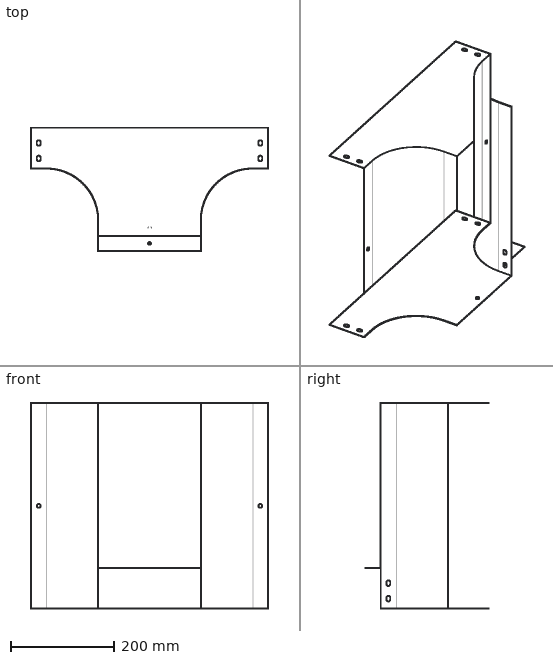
import cadquery as cq
import math

sheet = 1.0
height = 400.0
throat_width = 200.0
bend_radius = 100.0
straight_length = 30.0
wing_depth = 80.0
flange_length = 30.0
mouth_height = 80.0

slot_width = 7.0
slot_length = 10.5
slot_pitch = 30.0
slot_inset = 20.0
edge_inset = 15.0
fixing_diameter = 7.0
flange_hole_diameter = 5.0

half_throat = throat_width / 2
half_width = half_throat + bend_radius + straight_length
body_depth = wing_depth + bend_radius + straight_length
back_y = (body_depth + flange_length) / 2
wing_y = back_y - wing_depth
mouth_y = back_y - body_depth
bend_start_y = wing_y - bend_radius
bend_end_x = half_throat + bend_radius
bottom_z = -height / 2
top_z = height / 2
flange_z = bottom_z + mouth_height - sheet
cut_depth = 4 * sheet


def side_wall_path(side, offset):
    """Points of a wall face, set inward from the outer face by offset."""
    radius = bend_radius + offset
    diagonal = radius * math.cos(math.radians(45))
    mouth = (side * (half_throat - offset), mouth_y)
    bend_start = (side * (half_throat - offset), bend_start_y)
    bend_middle = (side * (bend_end_x - diagonal), bend_start_y + diagonal)
    bend_end = (side * bend_end_x, wing_y + offset)
    wing_end = (side * half_width, wing_y + offset)
    return mouth, bend_start, bend_middle, bend_end, wing_end


def tee_plate(z):
    """T-shaped plate with its lower face at z."""
    r_mouth, r_start, r_middle, r_end, r_wing = side_wall_path(1, 0)
    l_mouth, l_start, l_middle, l_end, l_wing = side_wall_path(-1, 0)
    return (
        cq.Workplane("XY", origin=(0, 0, z))
        .moveTo(*r_mouth)
        .lineTo(*r_start)
        .threePointArc(r_middle, r_end)
        .lineTo(*r_wing)
        .lineTo(half_width, back_y)
        .lineTo(-half_width, back_y)
        .lineTo(*l_wing)
        .lineTo(*l_end)
        .threePointArc(l_middle, l_start)
        .lineTo(*l_mouth)
        .close()
        .extrude(sheet)
    )


def side_wall(side):
    """Full-height wall curving from the branch mouth to a side opening."""
    o_mouth, o_start, o_middle, o_end, o_wing = side_wall_path(side, 0)
    i_mouth, i_start, i_middle, i_end, i_wing = side_wall_path(side, sheet)
    return (
        cq.Workplane("XY", origin=(0, 0, bottom_z))
        .moveTo(*o_mouth)
        .lineTo(*o_start)
        .threePointArc(o_middle, o_end)
        .lineTo(*o_wing)
        .lineTo(*i_wing)
        .lineTo(*i_end)
        .threePointArc(i_middle, i_start)
        .lineTo(*i_mouth)
        .close()
        .extrude(height)
    )


def front_panel():
    """Panel closing the upper part of the branch mouth, with its flange."""
    panel_height = top_z - flange_z
    panel = cq.Workplane("XY").box(throat_width, sheet, panel_height, centered=(True, False, False))
    flange = cq.Workplane("XY").box(throat_width, flange_length, sheet, centered=(True, False, False))
    panel = panel.translate((0, mouth_y - sheet, flange_z))
    flange = flange.translate((0, mouth_y - flange_length, flange_z))
    return panel.union(flange)


def wing_slots():
    """Slots through both plates beside the side openings."""
    first_y = wing_y + slot_inset
    slot_x = half_width - edge_inset
    centres = [(side * slot_x, first_y + i * slot_pitch) for side in (-1, 1) for i in range(2)]
    return (
        cq.Workplane("XY", origin=(0, 0, bottom_z - sheet))
        .pushPoints(centres)
        .slot2D(slot_length, slot_width, 90)
        .extrude(height + 2 * sheet)
    )


def mouth_slots():
    """Slots through both side walls beside the open part of the mouth."""
    first_z = bottom_z + slot_inset
    centres = [(mouth_y + edge_inset, first_z + i * slot_pitch) for i in range(2)]
    return (
        cq.Workplane("YZ")
        .pushPoints(centres)
        .slot2D(slot_length, slot_width, 90)
        .extrude(half_throat + sheet, both=True)
    )


def wing_holes():
    """Round holes at mid-height of the flat wall ends."""
    hole_x = half_width - edge_inset
    return (
        cq.Workplane("XZ", origin=(0, wing_y, 0))
        .pushPoints([(-hole_x, 0), (hole_x, 0)])
        .circle(fixing_diameter / 2)
        .extrude(cut_depth, both=True)
    )


def vertical_hole(y, z, diameter):
    """Round hole on the centre plane through a horizontal sheet at z."""
    return (
        cq.Workplane("XY", origin=(0, y, z))
        .circle(diameter / 2)
        .extrude(cut_depth, both=True)
    )


result = (
    tee_plate(bottom_z)
    .union(tee_plate(top_z - sheet))
    .union(side_wall(-1))
    .union(side_wall(1))
    .union(front_panel())
    .cut(wing_slots())
    .cut(mouth_slots())
    .cut(wing_holes())
    .cut(vertical_hole(mouth_y + edge_inset, bottom_z, fixing_diameter))
    .cut(vertical_hole(mouth_y - edge_inset, flange_z, flange_hole_diameter))
)